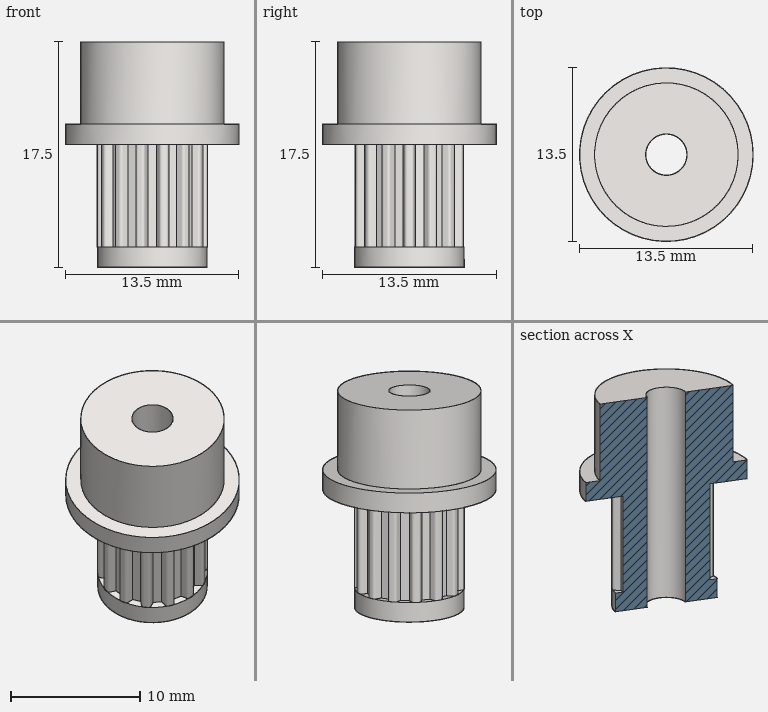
import cadquery as cq
import math

total_height = 17.46
rim_thickness = 1.59
hub_height = 6.35
flange_top = total_height - hub_height
flange_bottom = flange_top - rim_thickness
teeth_height = flange_bottom - rim_thickness

hub_diameter = 11.12
flange_diameter = 13.46
collar_diameter = 8.5
teeth_diameter = 8.55
bore_diameter = 3.18

tooth_count = 14
groove_depth = 0.63
groove_floor_width = 0.66
groove_flank_angle = 28.0
tooth_tip_fillet = 0.25

teeth_radius = teeth_diameter / 2
pitch_angle = 360.0 / tooth_count
seam_clearance = 0.02


def disc(diameter, bottom, height):
    return cq.Workplane("XY").workplane(offset=bottom).circle(diameter / 2).extrude(height)


def groove_cutter():
    """Trapezoidal groove on the -Y side, running past the tooth tips."""
    floor = teeth_radius - groove_depth
    mouth = teeth_radius + groove_depth
    half_floor = groove_floor_width / 2
    half_mouth = half_floor + (mouth - floor) * math.tan(math.radians(groove_flank_angle))
    outline = [
        (-half_floor, -floor),
        (half_floor, -floor),
        (half_mouth, -mouth),
        (-half_mouth, -mouth),
    ]
    return cq.Workplane("XY").workplane(offset=rim_thickness).polyline(outline).close().extrude(teeth_height)


def is_tooth_tip_edge(edge):
    """True for groove edges on the tip circle; the cylinder seam lies on the X axis."""
    center = edge.Center()
    on_tip_circle = math.hypot(center.x, center.y) > teeth_radius - groove_depth / 4
    return on_tip_circle and abs(center.y) > seam_clearance


def toothed_section():
    teeth = disc(teeth_diameter, rim_thickness, teeth_height)
    cutter = groove_cutter()
    for index in range(tooth_count):
        teeth = teeth.cut(cutter.rotate((0, 0, 0), (0, 0, 1), index * pitch_angle))
    return teeth.edges("|Z").filter(is_tooth_tip_edge).fillet(tooth_tip_fillet)


collar = disc(collar_diameter, 0, rim_thickness)
flange = disc(flange_diameter, flange_bottom, rim_thickness)
hub = disc(hub_diameter, flange_top, hub_height)
bore = disc(bore_diameter, 0, total_height)

result = collar.union(toothed_section()).union(flange).union(hub).cut(bore)